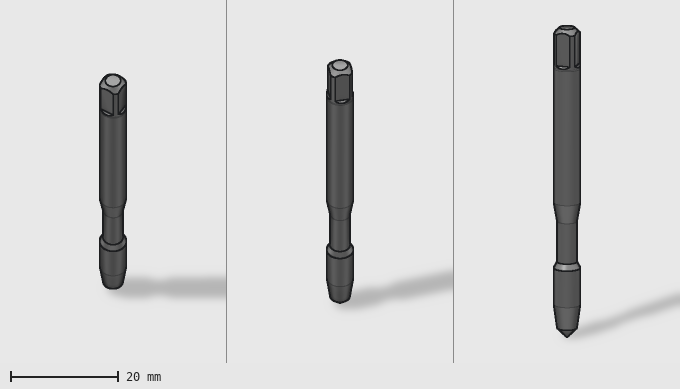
import cadquery as cq

total_length = 59.55
shank_diameter = 5.0
edge_break_height = 0.2

point_diameter = 3.75
point_height = point_diameter / 2
chamfer_top = 6.45
cutter_shoulder = 13.6
cutter_top = 14.6
cutter_diameter = 5.0
shoulder_diameter = 4.8

neck_diameter = 3.75
neck_top = 22.4
shank_bottom = 26.0
shank_top = 51.8
drive_diameter = 4.95

square_width = 4.1
square_bottom = 52.6
end_face_diameter = 2.85
end_chamfer_height = (drive_diameter - end_face_diameter) / 2


def revolve_profile(points):
    """Solid of revolution about Z from (radius, height) points that start and end on the axis."""
    return cq.Workplane("XZ").polyline(points).close().revolve(360, (0, 0, 0), (0, 1, 0))


def flat_cutter():
    """Tool that cuts one flat on the +X side, with a 45 degree run-out at its lower end."""
    flat = square_width / 2
    reach = shank_diameter
    return (
        cq.Workplane("XZ")
        .polyline([
            (flat, square_bottom),
            (reach, square_bottom - (reach - flat)),
            (reach, total_length),
            (flat, total_length),
        ])
        .close()
        .extrude(shank_diameter, both=True)
    )


def make_cutting_end():
    """Pointed and tapered cutting end, up to its shoulder against the neck."""
    return revolve_profile([
        (0, 0),
        (point_diameter / 2, point_height),
        (cutter_diameter / 2, chamfer_top),
        (cutter_diameter / 2, cutter_shoulder - edge_break_height),
        (shoulder_diameter / 2, cutter_shoulder),
        (neck_diameter / 2, cutter_top),
        (0, cutter_top),
    ])


def make_shank():
    """Neck, cylindrical shank and square drive end."""
    shank = revolve_profile([
        (0, cutter_top),
        (neck_diameter / 2, cutter_top),
        (neck_diameter / 2, neck_top),
        (shank_diameter / 2, shank_bottom),
        (shank_diameter / 2, shank_top),
        (drive_diameter / 2, shank_top + edge_break_height),
        (drive_diameter / 2, total_length - end_chamfer_height),
        (end_face_diameter / 2, total_length),
        (0, total_length),
    ])
    for quarter in range(4):
        shank = shank.cut(flat_cutter().rotate((0, 0, 0), (0, 0, 1), 90 * quarter))
    return shank


cutting_end = make_cutting_end()
shank = make_shank()

result = cq.Compound.makeCompound([cutting_end.val(), shank.val()])